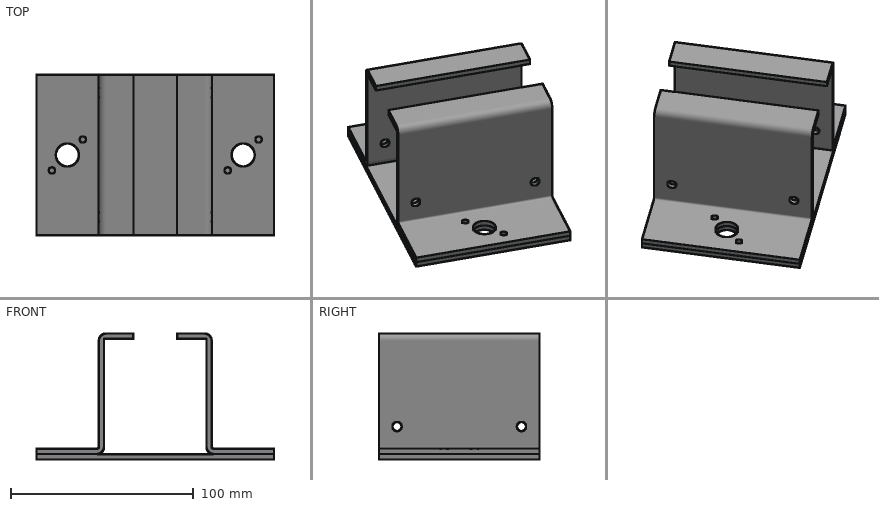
import cadquery as cq
import math

LENGTH_X = 130.0
DEPTH_Y = 88.0
HEIGHT = 69.0
SHEET = 3.0

WALL_OUTER_X = 31.0
LIP_END_X = 12.0
FOOT_INNER_RADIUS = 1.0
OUTER_BEND_RADIUS = FOOT_INNER_RADIUS + SHEET

FOOT_HOLE_X = 48.1
FOOT_HOLE_DIAMETER = 12.5
SCREW_DIAMETER = 3.5
SCREW_CIRCLE_RADIUS = 12.0
SCREW_ANGLES = (45, 225)

WALL_HOLE_DIAMETER = 5.0
WALL_HOLE_Y = 34.0
WALL_HOLE_Z = 18.1

HALF_X = LENGTH_X / 2
WALL_INNER_X = WALL_OUTER_X - SHEET
FOOT_TOP = 2 * SHEET
LIP_UNDERSIDE = HEIGHT - SHEET
ARC_MIDPOINT = 1 - math.sqrt(0.5)


def vertical_holes(centers, diameter, top):
    """Cylinders that cut from the bottom of the assembly, z = 0, up to top."""
    return cq.Workplane("XY").pushPoints(centers).circle(diameter / 2).extrude(top)


def make_base_plate():
    plate = cq.Workplane("XY").box(LENGTH_X, DEPTH_Y, SHEET, centered=(True, True, False))
    centers = [(side * FOOT_HOLE_X, 0) for side in (-1, 1)]
    return plate.cut(vertical_holes(centers, FOOT_HOLE_DIAMETER, SHEET))


def bracket_profile(side):
    """Bent sheet: foot on the plate, upright wall, and lip turned back toward the center."""

    def point(x, z):
        return (side * x, z)

    bend_inset = OUTER_BEND_RADIUS * ARC_MIDPOINT
    foot_inset = FOOT_INNER_RADIUS * ARC_MIDPOINT
    return (
        cq.Workplane("XZ", origin=(0, DEPTH_Y / 2, 0))
        .moveTo(*point(HALF_X, SHEET))
        .lineTo(*point(WALL_INNER_X + OUTER_BEND_RADIUS, SHEET))
        .threePointArc(
            point(WALL_INNER_X + bend_inset, SHEET + bend_inset),
            point(WALL_INNER_X, SHEET + OUTER_BEND_RADIUS),
        )
        .lineTo(*point(WALL_INNER_X, LIP_UNDERSIDE))
        .lineTo(*point(LIP_END_X, LIP_UNDERSIDE))
        .lineTo(*point(LIP_END_X, HEIGHT))
        .lineTo(*point(WALL_OUTER_X - OUTER_BEND_RADIUS, HEIGHT))
        .threePointArc(
            point(WALL_OUTER_X - bend_inset, HEIGHT - bend_inset),
            point(WALL_OUTER_X, HEIGHT - OUTER_BEND_RADIUS),
        )
        .lineTo(*point(WALL_OUTER_X, FOOT_TOP + FOOT_INNER_RADIUS))
        .threePointArc(
            point(WALL_OUTER_X + foot_inset, FOOT_TOP + foot_inset),
            point(WALL_OUTER_X + FOOT_INNER_RADIUS, FOOT_TOP),
        )
        .lineTo(*point(HALF_X, FOOT_TOP))
        .close()
    )


def make_bracket(side):
    """Bracket on the -X (side = -1) or +X (side = 1) half of the plate."""
    bracket = bracket_profile(side).extrude(DEPTH_Y)

    foot_center_x = side * FOOT_HOLE_X
    bracket = bracket.cut(vertical_holes([(foot_center_x, 0)], FOOT_HOLE_DIAMETER, FOOT_TOP))

    screw_centers = [
        (
            foot_center_x + SCREW_CIRCLE_RADIUS * math.cos(math.radians(angle)),
            SCREW_CIRCLE_RADIUS * math.sin(math.radians(angle)),
        )
        for angle in SCREW_ANGLES
    ]
    bracket = bracket.cut(vertical_holes(screw_centers, SCREW_DIAMETER, FOOT_TOP))

    wall_holes = (
        cq.Workplane("YZ", origin=(-HALF_X, 0, 0))
        .pushPoints([(-WALL_HOLE_Y, WALL_HOLE_Z), (WALL_HOLE_Y, WALL_HOLE_Z)])
        .circle(WALL_HOLE_DIAMETER / 2)
        .extrude(LENGTH_X)
    )
    return bracket.cut(wall_holes)


base_plate = make_base_plate()
brackets = [make_bracket(side) for side in (-1, 1)]

result = cq.Compound.makeCompound([base_plate.val(), *[bracket.val() for bracket in brackets]])